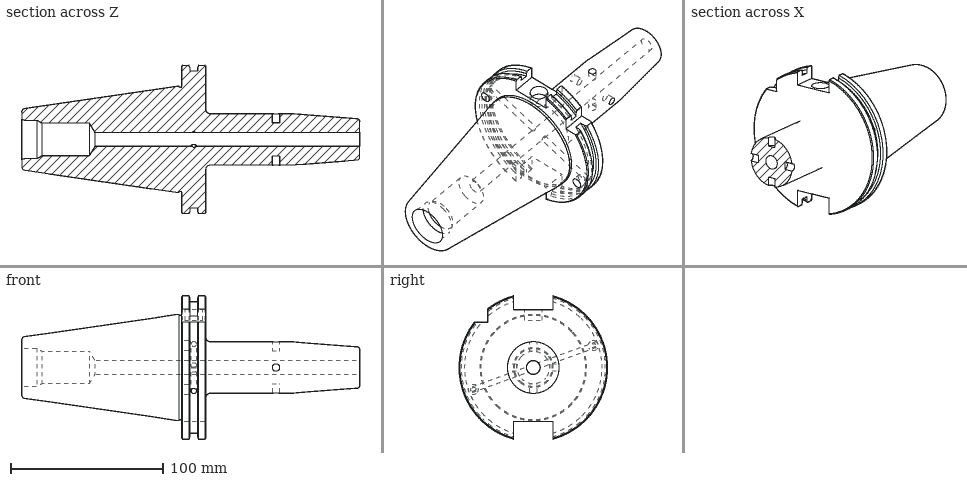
import cadquery as cq
import math


total_length = 221.8
taper_length = 101.8
gauge_diameter = 69.9
gauge_radius = gauge_diameter / 2
taper_slope = 7 / 48
taper_end_radius = gauge_radius - taper_slope * taper_length
end_rounding = 2.5

relief_start = 1.3
relief_depth = 0.7

flange_start = 3.0
flange_width = 16.0
flange_radius = 48.8
flange_chamfer = 0.7
flange_end = flange_start + flange_width
groove_centre = flange_start + flange_width / 2
groove_floor_radius = 45.0
groove_floor_width = 4.9
groove_mouth_width = 6.2
groove_bevel_depth = 1.5

shank_diameter = 34.0
shank_radius = shank_diameter / 2
shank_fillet = 2.9
nose_start = 75.8
nose_radius = 13.5
nose_rounding = 2.0
nose_end = total_length - taper_length

mouth_radius = 13.0
mouth_chamfer = 0.7
mouth_chamfer_length = 2.2
mouth_depth = 10.2
lead_in_length = 3.0
thread_radius = 10.6
thread_depth = 44.4
through_radius = 4.5
drill_half_angle = math.radians(59)

slot_width = 25.7
upper_slot_floor = 38.0
lower_slot_floor = 35.5
notch_side = 30.0
notch_floor = 29.7
recess_diameter = 11.5
recess_depth = 7.0

coolant_angle = 20.0
coolant_circle_radius = 42.0
coolant_radius = 3.3
coolant_depth = 5.3
channel_radius = 1.8

shank_hole_position = 65.0
shank_hole_diameter = 4.9
shank_hole_depth = 6.0
shank_hole_count = 4


def drill_tip_length(large_radius, small_radius=0.0):
    return (large_radius - small_radius) / math.tan(drill_half_angle)


def revolve_about_x(points):
    """Turn a closed (x, radius) outline about the X axis."""
    return cq.Workplane("XY").polyline(points).close().revolve(360, (0, 0, 0), (1, 0, 0))


def turned_body():
    mouth_half = groove_mouth_width / 2
    floor_half = groove_floor_width / 2
    bevel_radius = flange_radius - groove_bevel_depth
    relief_middle = (relief_start + flange_start) / 2
    relief_radius = gauge_radius - relief_depth
    rim_radius = flange_radius - flange_chamfer
    profile = (
        cq.Workplane("XY")
        .moveTo(-taper_length, 0)
        .lineTo(-taper_length, taper_end_radius)
        .lineTo(0, gauge_radius)
        .lineTo(relief_start, gauge_radius)
        .threePointArc((relief_middle, relief_radius), (flange_start, gauge_radius))
        .lineTo(flange_start, rim_radius)
        .lineTo(flange_start + flange_chamfer, flange_radius)
        .lineTo(groove_centre - mouth_half, flange_radius)
        .lineTo(groove_centre - floor_half, bevel_radius)
        .lineTo(groove_centre - floor_half, groove_floor_radius)
        .lineTo(groove_centre + floor_half, groove_floor_radius)
        .lineTo(groove_centre + floor_half, bevel_radius)
        .lineTo(groove_centre + mouth_half, flange_radius)
        .lineTo(flange_end - flange_chamfer, flange_radius)
        .lineTo(flange_end, rim_radius)
        .lineTo(flange_end, shank_radius + shank_fillet)
        .radiusArc((flange_end + shank_fillet, shank_radius), -shank_fillet)
        .lineTo(nose_start, shank_radius)
        .lineTo(nose_end, nose_radius)
        .lineTo(nose_end, 0)
        .close()
    )
    body = profile.revolve(360, (0, 0, 0), (1, 0, 0))
    body = body.faces("<X").edges().fillet(end_rounding)
    return body.faces(">X").edges().fillet(nose_rounding)


def axial_bore():
    mouth_end = mouth_depth - taper_length
    thread_end = thread_depth - taper_length
    inner_mouth_radius = mouth_radius - mouth_chamfer
    return revolve_about_x([
        (-taper_length, 0),
        (-taper_length, mouth_radius),
        (-taper_length + mouth_chamfer_length, inner_mouth_radius),
        (mouth_end, inner_mouth_radius),
        (mouth_end + lead_in_length, thread_radius),
        (thread_end, thread_radius),
        (thread_end + drill_tip_length(thread_radius, through_radius), through_radius),
        (nose_end, through_radius),
        (nose_end, 0),
    ])


def flange_block(y_min, y_max, z_min, z_max):
    """Cutting block across the full width of the flange."""
    block = cq.Workplane("XY").box(flange_width, y_max - y_min, z_max - z_min, centered=False)
    return block.translate((flange_start, y_min, z_min))


def flange_cutouts():
    half_slot = slot_width / 2
    upper_slot = flange_block(-half_slot, half_slot, upper_slot_floor, flange_radius)
    lower_slot = flange_block(-half_slot, half_slot, -flange_radius, -lower_slot_floor)
    notch = flange_block(-flange_radius, -notch_side, notch_floor, flange_radius)
    recess = (
        cq.Workplane("XY", origin=(groove_centre, 0, upper_slot_floor))
        .circle(recess_diameter / 2)
        .extrude(-recess_depth)
    )
    return upper_slot.union(lower_slot).union(notch).union(recess)


def coolant_passage():
    """Blind axial hole with a drill tip, met by a radial channel from groove to bore; lies along +Y."""
    hole_end = flange_start + coolant_depth
    hole = revolve_about_x([
        (flange_start, 0),
        (flange_start, coolant_radius),
        (hole_end, coolant_radius),
        (hole_end + drill_tip_length(coolant_radius), 0),
    ]).translate((0, coolant_circle_radius, 0))
    channel = (
        cq.Workplane("XZ", origin=(groove_centre, 0, 0))
        .circle(channel_radius)
        .extrude(-flange_radius)
    )
    return hole.union(channel)


def shank_hole():
    """Flat-bottomed radial hole in the +Z side of the shank."""
    return (
        cq.Workplane("XY", origin=(shank_hole_position, 0, shank_radius - shank_hole_depth))
        .circle(shank_hole_diameter / 2)
        .extrude(2 * shank_hole_depth)
    )


result = turned_body().cut(axial_bore()).cut(flange_cutouts())
for index in range(shank_hole_count):
    angle = index * 360 / shank_hole_count
    result = result.cut(shank_hole().rotate((0, 0, 0), (1, 0, 0), angle))
for angle in (coolant_angle, coolant_angle + 180):
    result = result.cut(coolant_passage().rotate((0, 0, 0), (1, 0, 0), angle))